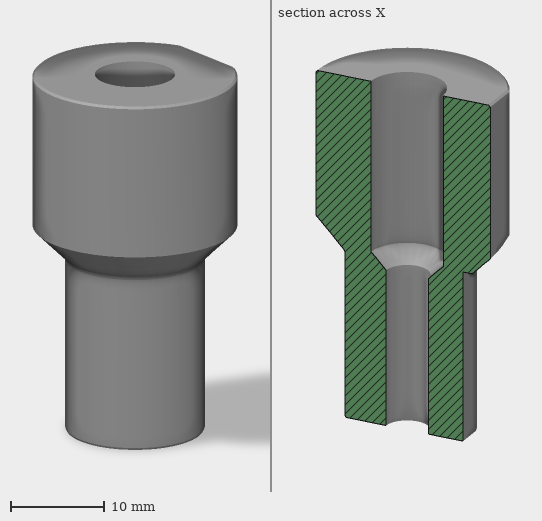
import cadquery as cq

total_height = 40.0
head_diameter = 22.0
shank_diameter = 15.0
cone_top = 23.0
neck_fillet = 0.6

head_flat_y = 10.0
shank_flat_y = 6.7
shank_flat_height = 19.8

top_chamfer = 0.25
bottom_chamfer_width = 0.1
bottom_chamfer_height = 0.25

large_bore_diameter = 8.6
small_bore_diameter = 5.0
large_bore_depth = 20.0

head_radius = head_diameter / 2
shank_radius = shank_diameter / 2
cone_bottom = cone_top - (head_radius - shank_radius)


def turned_body():
    """Revolved head, 45 degree cone and shank, with the neck rounded."""
    profile = (
        cq.Workplane("XZ")
        .polyline([
            (0, 0),
            (shank_radius - bottom_chamfer_width, 0),
            (shank_radius, bottom_chamfer_height),
            (shank_radius, cone_bottom),
            (head_radius, cone_top),
            (head_radius, total_height),
            (0, total_height),
        ])
        .close()
    )
    body = profile.revolve(360, (0, 0, 0), (0, 1, 0))
    neck_edge = cq.selectors.NearestToPointSelector((0, 0, cone_bottom))
    return body.edges("%CIRCLE").edges(neck_edge).fillet(neck_fillet)


def flat_cutter(flat_y, height):
    """Block that removes everything beyond flat_y, from the bottom up to height."""
    return cq.Workplane("XY").box(
        head_diameter, head_radius, height, centered=(True, False, False)
    ).translate((0, flat_y, 0))


def stepped_bore():
    """Through hole widening over a cone to the large bore at the top."""
    large_radius = large_bore_diameter / 2
    small_radius = small_bore_diameter / 2
    seat_top = total_height - large_bore_depth
    seat_bottom = seat_top - (large_radius - small_radius)
    return (
        cq.Workplane("XZ")
        .polyline([
            (0, 0),
            (small_radius, 0),
            (small_radius, seat_bottom),
            (large_radius, seat_top),
            (large_radius, total_height),
            (0, total_height),
        ])
        .close()
        .revolve(360, (0, 0, 0), (0, 1, 0))
    )


result = (
    turned_body()
    .cut(flat_cutter(head_flat_y, total_height))
    .faces(">Z")
    .edges()
    .chamfer(top_chamfer)
    .cut(flat_cutter(shank_flat_y, shank_flat_height))
    .cut(stepped_bore())
)